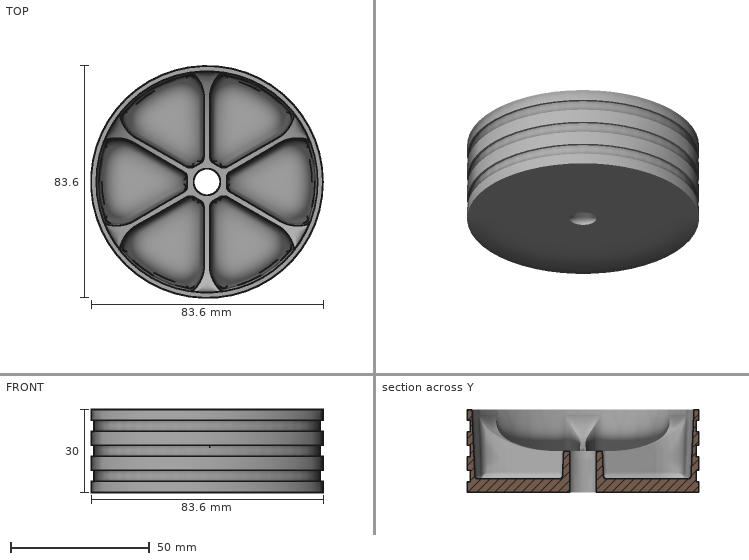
import cadquery as cq
import math

outer_radius = 41.8
height = 30.0
groove_depth = 1.0
groove_width = 4.0
edge_land = 4.0
groove_pitch = (height - 2 * edge_land - groove_width) / 2
groove_count = 3

floor_height = 5.0
bore_diameter = 9.5
hub_height = 15.0
hub_flat_radius = 11.7
hub_base_flat = 7.5

spoke_count = 6
spoke_base_width = 3.0
rim_base_thickness = 3.0
flare_start = 29.65
flare_radius = 11.5
flare_sweep = math.radians(80)
draft_angle = 2.5
spoke_fillet = 2.5
small_fillet = 1.0
corner_fillet = 2.5
spoke_top_rise = 13.0
wall_clearance = 0.02

pocket_angle = 360.0 / spoke_count
half_angle = math.radians(pocket_angle / 2)
draft_slope = math.tan(math.radians(draft_angle))
draft_widening = (height - floor_height) * draft_slope
half_spoke = spoke_base_width / 2 - draft_widening
rim_base_radius = outer_radius - rim_base_thickness


def rim_inner_radius(z):
    """Radius of the drafted inner rim wall at height z."""
    return rim_base_radius + (z - floor_height) * draft_slope


def point_by_spoke(along, aside):
    """Point at a distance along the spoke above the +X pocket and aside from it, into the pocket."""
    return (
        along * math.cos(half_angle) + aside * math.sin(half_angle),
        along * math.sin(half_angle) - aside * math.cos(half_angle),
    )


def flare_point(sweep):
    """Point on the flared spoke side at the top, at a sweep from where the flare begins."""
    radius = flare_radius + draft_widening
    return point_by_spoke(
        flare_start + radius * math.sin(sweep),
        half_spoke + radius * (1 - math.cos(sweep)),
    )


def mirrored(point):
    return (point[0], -point[1])


def make_blank():
    """Plain disc with the tread grooves around it."""
    blank = cq.Workplane("XY").circle(outer_radius).extrude(height)
    for index in range(groove_count):
        groove = (
            cq.Workplane("XY", origin=(0, 0, edge_land + index * groove_pitch))
            .circle(outer_radius + groove_depth)
            .circle(outer_radius - groove_depth)
            .extrude(groove_width)
        )
        blank = blank.cut(groove)
    return blank


def make_rim_cone():
    """Space inside the drafted rim wall, from the floor to the top."""
    return cq.Workplane(
        cq.Solid.makeCone(
            rim_inner_radius(floor_height),
            rim_inner_radius(height),
            height - floor_height,
            cq.Vector(0, 0, floor_height),
        )
    )


def make_upper_cavity():
    """Revolved space above the hub and the spokes, whose tops rise along an ellipse to the rim.

    It stops a hair short of the rim wall, so that it shares no face with the pockets.
    """
    ellipse_top = hub_height + spoke_top_rise
    spoke_top_reach = rim_inner_radius(ellipse_top) - wall_clearance - hub_flat_radius
    return (
        cq.Workplane("XZ")
        .moveTo(0, hub_height)
        .lineTo(hub_flat_radius, hub_height)
        .ellipseArc(spoke_top_reach, spoke_top_rise, 270, 360)
        .lineTo(rim_inner_radius(height) - wall_clearance, height)
        .lineTo(0, height)
        .close()
        .revolve(360, (0, 0, 0), (0, 1, 0))
    )


def make_wedge():
    """Drafted space between the facing sides of two spokes, reaching out past the rim wall."""
    apex = (half_spoke / math.sin(half_angle), 0)
    flare_middle = flare_point(flare_sweep / 2)
    flare_end = flare_point(flare_sweep)
    tangent_point = flare_point(0)
    return (
        cq.Workplane("XY", origin=(0, 0, height))
        .moveTo(*apex)
        .lineTo(*mirrored(tangent_point))
        .threePointArc(mirrored(flare_middle), mirrored(flare_end))
        .lineTo(*flare_end)
        .threePointArc(flare_middle, tangent_point)
        .close()
        .extrude(floor_height - height, taper=draft_angle)
    )


def make_hub_slab():
    """Space outside one drafted hub flat, from the floor to the top."""
    hub_top_flat = hub_base_flat - draft_widening
    return (
        cq.Workplane("XZ", origin=(0, outer_radius, 0))
        .moveTo(hub_top_flat, height)
        .lineTo(hub_base_flat, floor_height)
        .lineTo(outer_radius, floor_height)
        .lineTo(outer_radius, height)
        .close()
        .extrude(2 * outer_radius)
    )


def floor_edges(shape, x_limit):
    """Edges around the floor of a shape whose midpoints lie below x_limit along X."""
    edges = shape.faces("<Z").edges().vals()
    return [edge for edge in edges if edge.positionAt(0.5).x < x_limit]


def upright_edges(shape):
    """Edges that run from the floor to the top."""
    edges = shape.edges().vals()
    return [edge for edge in edges if edge.BoundingBox().zlen > (height - floor_height) / 2]


def make_pocket():
    """Drafted pocket on the +X side, with rounded corners and floor edges."""
    wedge = make_wedge()
    cone = make_rim_cone()
    slab = make_hub_slab()

    upright = wedge.intersect(cone).intersect(slab)
    corners = [
        edge
        for edge in upright_edges(upright)
        if not hub_flat_radius < edge.positionAt(0.5).x < flare_start
    ]
    upright = upright.newObject(corners).fillet(corner_fillet)

    wedge = wedge.newObject(floor_edges(wedge, rim_base_radius)).fillet(spoke_fillet)
    cone = cone.faces("<Z").edges().fillet(small_fillet)
    slab = slab.newObject(floor_edges(slab, hub_flat_radius)).fillet(small_fillet)
    floor_blended = wedge.intersect(cone).intersect(slab)
    return upright.intersect(floor_blended)


bore = cq.Workplane("XY").circle(bore_diameter / 2).extrude(height)
result = make_blank().cut(bore)
pocket = make_pocket()
for index in range(spoke_count):
    result = result.cut(pocket.rotate((0, 0, 0), (0, 0, 1), index * pocket_angle))
result = result.cut(make_upper_cavity())